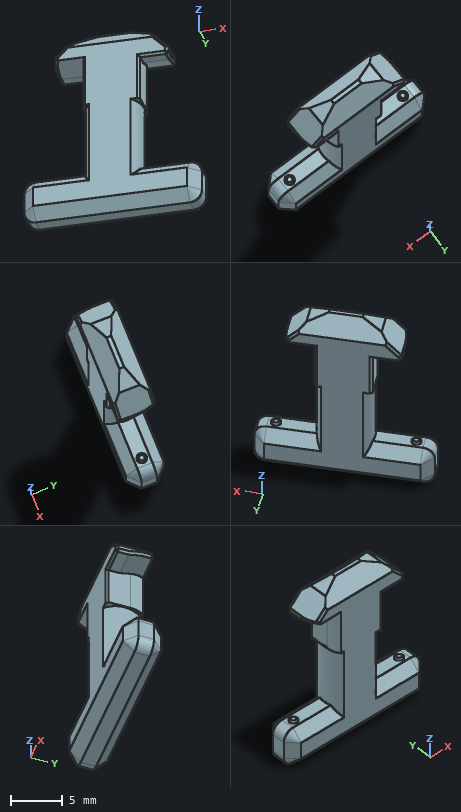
import cadquery as cq
import math

THICKNESS = 4.0
TOTAL_HEIGHT = 20.05

BAR_LENGTH = 18.0
BAR_HEIGHT = 4.46
BAR_CORNER_RADIUS = 1.2
BAR_CHAMFER = 1.199

PIP_OFFSET = 7.0
PIP_BASE_RADIUS = 0.5
PIP_TOP_RADIUS = 0.3
PIP_HEIGHT = 0.2

LOWER_STEM_RADIUS = 2.9
SHOULDER_Z = 11.7
STEM_HALF_WIDTH = 3.0
STEM_ROUND = 2.5
STEM_ROUND_START = 0.5

HEAD_HALF_LENGTH = 5.86
HEAD_BOTTOM_Z = 16.31
HEAD_ROUND = HEAD_HALF_LENGTH
HEAD_ROUND_START = 0.0
CROWN_HALF_LENGTH = 1.7
CROWN_HALF_THICKNESS = 0.25
CROWN_DROP = 0.85
CROWN_ANGLE = 22.5
RAMP_ANGLE = 15.0
RAMP_START = -0.6
EDGE_CHAMFER = 0.25

HALF_THICKNESS = THICKNESS / 2
RAMP_SLOPE = math.tan(math.radians(RAMP_ANGLE))
RAMP_TOP_Z = HEAD_BOTTOM_Z + (HALF_THICKNESS - RAMP_START) * RAMP_SLOPE


def make_bar():
    """Bar with rounded ends and both broad faces chamfered."""
    bar = cq.Workplane("XY").box(BAR_LENGTH, THICKNESS, BAR_HEIGHT, centered=(True, True, False))
    return bar.edges("|Y").fillet(BAR_CORNER_RADIUS).faces("<Y or >Y").chamfer(BAR_CHAMFER)


def make_pip(x):
    """Tapered pip standing on the bar."""
    base = cq.Vector(x, 0, BAR_HEIGHT)
    return cq.Workplane(cq.Solid.makeCone(PIP_BASE_RADIUS, PIP_TOP_RADIUS, PIP_HEIGHT, base))


def make_lower_stem():
    """Round stem flattened to the thickness of the bar, rooted in the middle of the bar."""
    root_z = BAR_HEIGHT / 2
    plane = cq.Workplane("XY").workplane(offset=root_z)
    rod = plane.circle(LOWER_STEM_RADIUS).extrude(SHOULDER_Z - root_z)
    slab = plane.rect(BAR_LENGTH, THICKNESS).extrude(SHOULDER_Z - root_z)
    return rod.intersect(slab)


def half_plan_prism(half_width, round_start, radius, bottom_z, top_z):
    """Prism from X = 0 to half_width, its +Y outer corner swept back on a tangent arc."""

    def arc_point(y):
        return (half_width - radius + math.sqrt(radius**2 - (y - round_start) ** 2), y)

    return (
        cq.Workplane("XY")
        .workplane(offset=bottom_z)
        .moveTo(0, -HALF_THICKNESS)
        .lineTo(half_width, -HALF_THICKNESS)
        .lineTo(half_width, round_start)
        .threePointArc(arc_point((round_start + HALF_THICKNESS) / 2), arc_point(HALF_THICKNESS))
        .lineTo(0, HALF_THICKNESS)
        .close()
        .extrude(top_z - bottom_z)
    )


def make_half_stem():
    """+X half of the upper stem, reaching up into the head above the ramp."""
    top_z = RAMP_TOP_Z + EDGE_CHAMFER
    stem = half_plan_prism(STEM_HALF_WIDTH, STEM_ROUND_START, STEM_ROUND, SHOULDER_Z, top_z)
    return stem.edges("|Z and >X and <Y").chamfer(EDGE_CHAMFER)


def make_arm_blank(bottom_z):
    """+X arm of the head with its end profile and swept tip, flat underneath at bottom_z."""
    crown_end_x = CROWN_HALF_LENGTH + CROWN_DROP / math.tan(math.radians(CROWN_ANGLE))
    crown_end_z = TOTAL_HEIGHT - CROWN_DROP
    tip_top_z = crown_end_z - (HEAD_HALF_LENGTH - crown_end_x)
    profile = (
        cq.Workplane("XZ")
        .polyline([
            (0, bottom_z),
            (HEAD_HALF_LENGTH, bottom_z),
            (HEAD_HALF_LENGTH, tip_top_z),
            (crown_end_x, crown_end_z),
            (CROWN_HALF_LENGTH, TOTAL_HEIGHT),
            (0, TOTAL_HEIGHT),
        ])
        .close()
        .extrude(HALF_THICKNESS, both=True)
    )
    plan = half_plan_prism(HEAD_HALF_LENGTH, HEAD_ROUND_START, HEAD_ROUND, bottom_z, TOTAL_HEIGHT)
    return profile.intersect(plan)


def chamfer_tip_underside(arm, extra_edges=()):
    """Chamfer the outer underside edges of an arm, with any extra edges in the same pass."""
    underside = arm.faces("<Z").val()
    tip_edges = [edge for edge in underside.Edges() if edge.BoundingBox().xmin > STEM_HALF_WIDTH]
    return arm.newObject(tip_edges + list(extra_edges)).chamfer(EDGE_CHAMFER)


def make_flat_arm():
    """Arm with a level underside, chamfered at its tip, shoulder, swept corner and -Y edges."""
    arm = make_arm_blank(HEAD_BOTTOM_Z)
    lower_edge = arm.faces("<Y").edges("<Z").vals()
    tip_corner = arm.faces("<Y").edges(">X").vals()
    swept_corner = arm.faces(">Y").edges(">X and |Z").vals()
    shoulder = arm.faces(">(1, 0, 1)").edges("<Y or >Y").vals()
    return chamfer_tip_underside(arm, lower_edge + tip_corner + swept_corner + shoulder)


def make_ramped_arm():
    """Arm whose whole underside lies in the ramp plane, chamfered along its tip."""
    bottom_z = RAMP_TOP_Z - THICKNESS * RAMP_SLOPE
    below_ramp = (
        cq.Workplane("YZ")
        .polyline([(-HALF_THICKNESS, bottom_z), (HALF_THICKNESS, bottom_z), (HALF_THICKNESS, RAMP_TOP_Z)])
        .close()
        .extrude(HEAD_HALF_LENGTH)
    )
    arm = make_arm_blank(bottom_z).cut(below_ramp)
    return chamfer_tip_underside(arm)


def make_roof_prism():
    """Pentagonal YZ section with 45 degree roof slopes that bounds the head."""
    eave_z = TOTAL_HEIGHT - (HALF_THICKNESS - CROWN_HALF_THICKNESS)
    return (
        cq.Workplane("YZ")
        .polyline([
            (-HALF_THICKNESS, SHOULDER_Z),
            (HALF_THICKNESS, SHOULDER_Z),
            (HALF_THICKNESS, eave_z),
            (CROWN_HALF_THICKNESS, TOTAL_HEIGHT),
            (-CROWN_HALF_THICKNESS, TOTAL_HEIGHT),
            (-HALF_THICKNESS, eave_z),
        ])
        .close()
        .extrude(HEAD_HALF_LENGTH)
    )


def make_half_head():
    """+X half of the head and upper stem; the higher underside wins where the two arms overlap."""
    arm = make_flat_arm().intersect(make_ramped_arm()).intersect(make_roof_prism())
    return arm.union(make_half_stem())


half_head = make_half_head()
opposite_half_head = half_head.rotate((0, 0, 0), (0, 0, 1), 180)

result = make_bar().union(make_lower_stem()).union(half_head).union(opposite_half_head)
for pip_x in (-PIP_OFFSET, PIP_OFFSET):
    result = result.union(make_pip(pip_x))
result = result.clean()